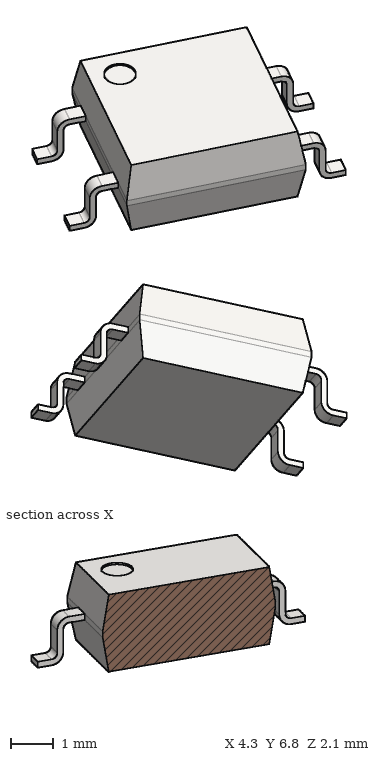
import cadquery as cq

body_x = 4.3
body_y = 4.405
body_height = 2.0
standoff = 0.1
top_inset = 0.155

lead_span = 6.8
lead_pitch = 2.54
lead_width = 0.4
lead_thickness = 0.155
shank_outer_y = 2.905
outer_bend_radius = 0.3
inner_bend_radius = outer_bend_radius - lead_thickness
lead_embed = 0.135

mark_radius = 0.375
mark_depth = 0.05
mark_x = -1.25
mark_y = -1.305

body_top = standoff + body_height
parting_z = standoff + body_height / 2
band_bottom = parting_z - lead_thickness / 2
band_top = parting_z + lead_thickness / 2


def tapered_half(start_z, end_z):
    """Loft from the full body outline to the smaller end face."""
    return (
        cq.Workplane("XY", origin=(0, 0, start_z))
        .rect(body_x, body_y)
        .workplane(offset=end_z - start_z)
        .rect(body_x - 2 * top_inset, body_y - 2 * top_inset)
        .loft(ruled=True)
    )


def make_body():
    band = cq.Workplane("XY", origin=(0, 0, band_bottom)).rect(body_x, body_y).extrude(lead_thickness)
    mark = (
        cq.Workplane("XY", origin=(mark_x, mark_y, body_top))
        .circle(mark_radius)
        .extrude(-mark_depth)
    )
    return band.union(tapered_half(band_top, body_top)).union(tapered_half(band_bottom, standoff)).cut(mark)


def make_lead(x):
    """Lead on the +Y side, centred at x, with its root inside the body."""
    root_y = body_y / 2 - lead_embed
    tip_y = lead_span / 2
    shank_inner_y = shank_outer_y - lead_thickness
    shoulder_y = shank_outer_y - outer_bend_radius
    foot_y = shank_inner_y + outer_bend_radius
    shoulder_z = band_top - outer_bend_radius
    profile = (
        cq.Workplane("YZ", origin=(x - lead_width / 2, 0, 0))
        .moveTo(root_y, band_top)
        .lineTo(shoulder_y, band_top)
        .radiusArc((shank_outer_y, shoulder_z), outer_bend_radius)
        .lineTo(shank_outer_y, outer_bend_radius)
        .radiusArc((foot_y, lead_thickness), -inner_bend_radius)
        .lineTo(tip_y, lead_thickness)
        .lineTo(tip_y, 0)
        .lineTo(foot_y, 0)
        .radiusArc((shank_inner_y, outer_bend_radius), outer_bend_radius)
        .lineTo(shank_inner_y, shoulder_z)
        .radiusArc((shoulder_y, band_bottom), -inner_bend_radius)
        .lineTo(root_y, band_bottom)
        .close()
    )
    return profile.extrude(lead_width)


result = make_body()
for lead_x in (-lead_pitch / 2, lead_pitch / 2):
    lead = make_lead(lead_x)
    result = result.union(lead).union(lead.mirror("XZ"))